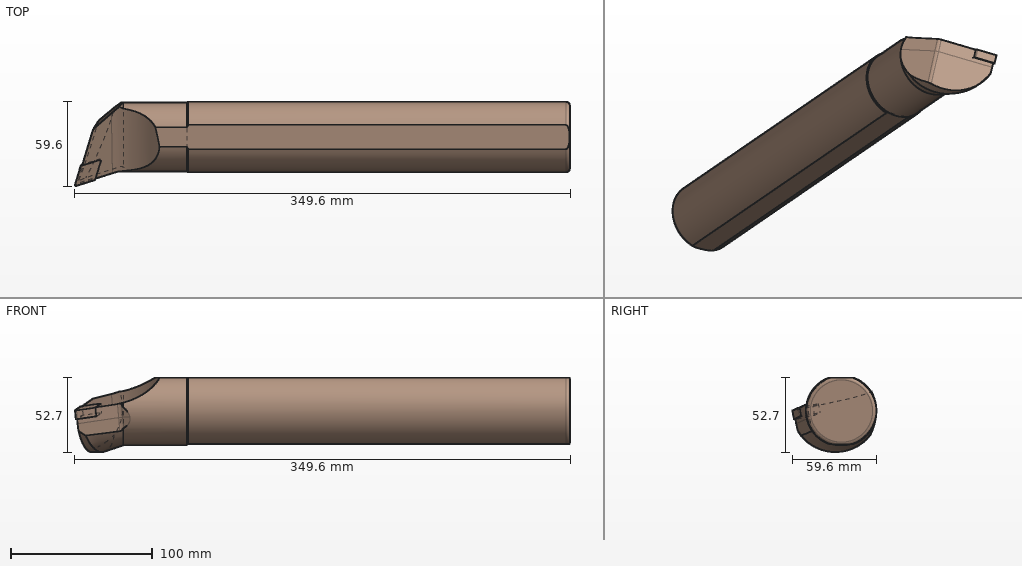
import cadquery as cq
import math


BAR_END_X = 350.0
BAR_RADIUS = 25.0
FLAT_HEIGHT = 23.5
END_ROUND_RADIUS = 3.0

NECK_RADIUS = 24.5
NECK_END_X = 79.5
LEAD_IN_LENGTH = 1.0
NECK_START_X = 34.5

HEAD_RADIUS = 31.0
HEAD_CENTER_Y = -4.1
HEAD_LOWEST_Z = -29.24
HEAD_CENTER_Z = HEAD_LOWEST_Z + HEAD_RADIUS
HEAD_CONE_ANGLE = 18.5
HEAD_START_X = -5.0

TIP = (0.0, -35.0, 0.0)
RAKE_SLOPE_X = 0.09
RAKE_SLOPE_Y = 0.185

INSERT_SIDE = 15.5
INSERT_THICKNESS = 6.35
INSERT_ANGLE = 55.0
NOSE_RADIUS = 0.8
SIDE_EDGE_ANGLE = (90.0 - INSERT_ANGLE) / 2
FRONT_EDGE_ANGLE = SIDE_EDGE_ANGLE + INSERT_ANGLE

EDGE_SETBACK = 0.9
FRONT_CORNER_V = 41.0
FRONT_CORNER_RADIUS = 5.0
BACK_EDGE_ANGLE = 41.0
SIDE_FACE_END_U = 32.0
RUNOUT_ANGLE = -15.0
RUNOUT_RADIUS = 5.0
RELIEF_DEPTH = 9.5
RELIEF_ANGLE = 1.3

FLUTE_FLAT_LENGTH = 27.0
FLUTE_RADIUS = 55.0
FLUTE_ARC_ANGLE = 60.0

REACH = 90.0
BAR_REACH = 450.0

rake_plane = cq.Plane(
    origin=TIP,
    xDir=(1.0, 0.0, RAKE_SLOPE_X),
    normal=(-RAKE_SLOPE_X, -RAKE_SLOPE_Y, 1.0),
)


def along(start, angle, length):
    """Point at a given distance from start in the direction of angle (degrees)."""
    turn = math.radians(angle)
    return (start[0] + length * math.cos(turn), start[1] + length * math.sin(turn))


def make_shank():
    """Bar with a rounded far end and a short conical lead-in from the neck, flattened top and bottom."""
    half_profile = [
        (NECK_END_X, 0),
        (NECK_END_X, NECK_RADIUS),
        (NECK_END_X + LEAD_IN_LENGTH, BAR_RADIUS),
        (BAR_END_X, BAR_RADIUS),
        (BAR_END_X, 0),
    ]
    shank = (
        cq.Workplane("XY")
        .polyline(half_profile)
        .close()
        .revolve(360, (0, 0, 0), (1, 0, 0))
        .faces(">X")
        .edges()
        .fillet(END_ROUND_RADIUS)
    )
    flats = cq.Workplane("XY").box(2 * BAR_REACH, 2 * REACH, 2 * FLAT_HEIGHT)
    return shank.intersect(flats)


def make_neck():
    """Round neck with the upper flat only."""
    neck = (
        cq.Workplane("YZ", origin=(NECK_START_X, 0, 0))
        .circle(NECK_RADIUS)
        .extrude(NECK_END_X - NECK_START_X)
    )
    above_flat = (
        cq.Workplane("XY", origin=(0, 0, FLAT_HEIGHT))
        .rect(2 * BAR_REACH, 2 * REACH)
        .extrude(BAR_RADIUS)
    )
    return neck.cut(above_flat)


def make_head():
    """Off-axis cylinder trimmed by a cone that shrinks to the neck on the bar axis."""
    length = NECK_START_X - HEAD_START_X
    cylinder = (
        cq.Workplane("YZ", origin=(HEAD_START_X, HEAD_CENTER_Y, HEAD_CENTER_Z))
        .circle(HEAD_RADIUS)
        .extrude(length)
    )
    cone = (
        cq.Workplane("YZ", origin=(NECK_START_X, 0, 0))
        .circle(NECK_RADIUS)
        .extrude(-length, taper=-HEAD_CONE_ANGLE)
    )
    return cylinder.intersect(cone)


def make_head_outline():
    """Prism that bounds the front, back and side faces of the head.

    Its walls are square to the rake plane down to the relief depth and taper inwards below it.
    """
    diagonal = EDGE_SETBACK / math.sin(math.radians(INSERT_ANGLE / 2))
    corner = along((0, 0), SIDE_EDGE_ANGLE + INSERT_ANGLE / 2, diagonal)
    front_length = (FRONT_CORNER_V - corner[1]) / math.sin(math.radians(FRONT_EDGE_ANGLE))
    front_corner = along(corner, FRONT_EDGE_ANGLE, front_length)
    side_length = (SIDE_FACE_END_U - corner[0]) / math.cos(math.radians(SIDE_EDGE_ANGLE))
    side_end = along(corner, SIDE_EDGE_ANGLE, side_length)
    outline = [
        corner,
        front_corner,
        along(front_corner, BACK_EDGE_ANGLE, REACH),
        (BAR_REACH, REACH),
        (BAR_REACH, -REACH),
        along(side_end, RUNOUT_ANGLE, REACH),
        side_end,
    ]
    relief_start = cq.Workplane(rake_plane).workplane(offset=-RELIEF_DEPTH)
    profile = (
        cq.Sketch()
        .face(cq.Wire.makePolygon([cq.Vector(*point) for point in outline], close=True))
        .vertices(cq.selectors.NearestToPointSelector((*front_corner, 0)))
        .fillet(FRONT_CORNER_RADIUS)
        .reset()
        .vertices(cq.selectors.NearestToPointSelector((*side_end, 0)))
        .fillet(RUNOUT_RADIUS)
    )
    upper = relief_start.placeSketch(profile).extrude(REACH)
    lower = relief_start.placeSketch(profile).extrude(-REACH / 2, taper=RELIEF_ANGLE)
    return upper.union(lower)


def make_flute():
    """Space above the flat rake face, rising tangentially in a wide arc towards the neck."""
    section = cq.Plane(origin=TIP, xDir=rake_plane.xDir, normal=-rake_plane.yDir)
    rise = math.radians(FLUTE_ARC_ANGLE)
    arc_mid = (
        FLUTE_FLAT_LENGTH + FLUTE_RADIUS * math.sin(rise / 2),
        FLUTE_RADIUS * (1 - math.cos(rise / 2)),
    )
    arc_end = (
        FLUTE_FLAT_LENGTH + FLUTE_RADIUS * math.sin(rise),
        FLUTE_RADIUS * (1 - math.cos(rise)),
    )
    return (
        cq.Workplane(section)
        .moveTo(-REACH, 0)
        .lineTo(FLUTE_FLAT_LENGTH, 0)
        .threePointArc(arc_mid, arc_end)
        .lineTo(arc_end[0], REACH)
        .lineTo(-REACH, REACH)
        .close()
        .extrude(REACH, both=True)
    )


def make_insert():
    """Rhombic plate lying under the rake plane, with rounded corners."""
    side_corner = along((0, 0), SIDE_EDGE_ANGLE, INSERT_SIDE)
    outline = [
        (0, 0),
        side_corner,
        along(side_corner, FRONT_EDGE_ANGLE, INSERT_SIDE),
        along((0, 0), FRONT_EDGE_ANGLE, INSERT_SIDE),
    ]
    prism = cq.Workplane(rake_plane).polyline(outline).close().extrude(-INSERT_THICKNESS)
    return prism.edges(cq.selectors.ParallelDirSelector(rake_plane.zDir)).fillet(NOSE_RADIUS)


insert = make_insert()
head_and_neck = make_head().union(make_neck()).intersect(make_head_outline()).cut(make_flute())
holder = head_and_neck.union(make_shank()).cut(insert)

result = cq.Compound.makeCompound([holder.val(), insert.val()])